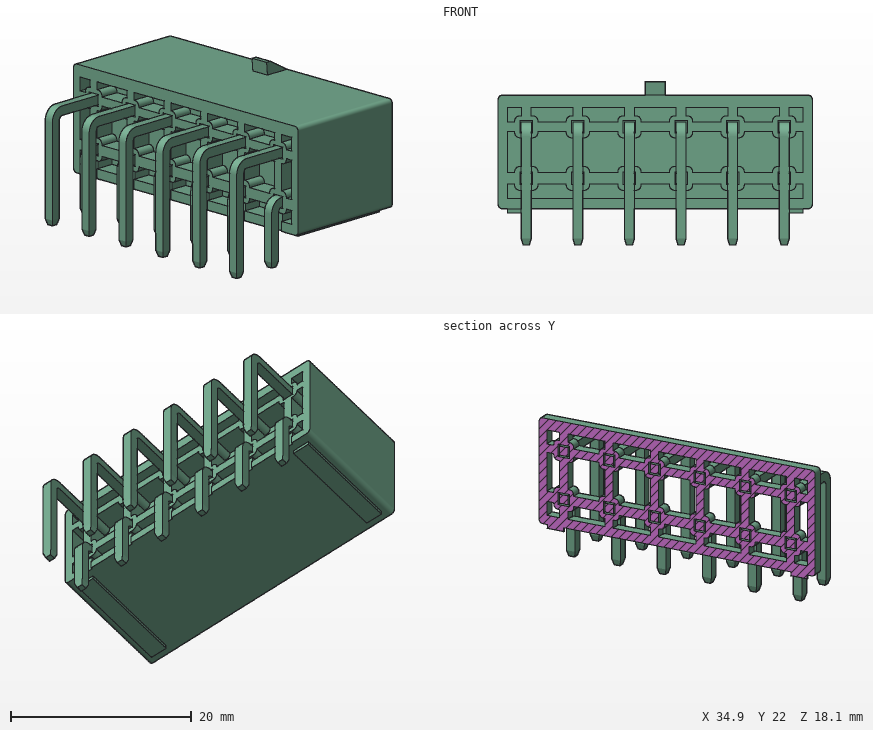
import cadquery as cq

width = 34.85
depth = 14.9
height = 12.6
edge_radius = 0.52

columns = 6
pitch = 5.7
upper_row_z = 9.1
lower_row_z = upper_row_z - pitch
column_x = [(i - (columns - 1) / 2) * pitch for i in range(columns)]

recess_depth = 2.37
side_wall = 1.05
top_wall = 1.4
bottom_wall = 1.15
column_rib = 1.08
upper_rib = 1.05
lower_rib = 1.25

land_width = 2.58
upper_land_height = 2.45
lower_land_height = 2.65
land_radius = 0.6
hole_size = 1.4

relief_depth = 0.17

pin_size = 1.1
bend_inner_radius = 0.5
bend_outer_radius = bend_inner_radius + pin_size
upper_pin_reach = 7.1
lower_pin_reach = 1.57
pin_bottom_z = -4.0
tip_length = 0.7
tip_size = 0.7

latch_width = 2.25
latch_height = 1.5
latch_ramp_length = 2.65
latch_base_length = 3.15
latch_top_length = 3.28

pad_width = 2.1
pad_height = 0.45
pad_inset_y = 1.0


def block(x_size, y_start, y_end, z_start, z_end, x_center=0.0):
    """Box centred on x_center, given by its Y and Z limits."""
    return cq.Workplane("XY").box(
        x_size, y_end - y_start, z_end - z_start, centered=(True, False, False)
    ).translate((x_center, y_start, z_start))


def make_housing():
    """Solid block with its four lengthwise (Y) edges rounded."""
    return block(width, 0, depth, 0, height).edges("|Y").fillet(edge_radius)


def make_land(x, z, land_height):
    """Rounded land at one rib crossing."""
    land = block(land_width, 0, recess_depth, z - land_height / 2, z + land_height / 2, x)
    return land.edges("|Y").fillet(land_radius)


def make_recess():
    """Volume removed from the pin face: the full recess less ribs, lands and walls."""
    bottom = bottom_wall
    top = height - top_wall
    recess = block(width - 2 * side_wall, 0, recess_depth, bottom, top)
    rows = ((upper_row_z, upper_rib, upper_land_height), (lower_row_z, lower_rib, lower_land_height))
    for z, rib, land_height in rows:
        recess = recess.cut(block(width, 0, recess_depth, z - rib / 2, z + rib / 2))
        for x in column_x:
            recess = recess.cut(make_land(x, z, land_height))
    for x in column_x:
        recess = recess.cut(block(column_rib, 0, recess_depth, bottom, top, x))
    return recess


def make_relief(x):
    """Shallow vertical groove from the underside up to the lower land."""
    return block(column_rib, 0, relief_depth, 0, lower_row_z - lower_land_height / 2, x)


def make_pin(x, z, reach):
    """Bent square pin that starts at the bottom of its hole and ends in a tapered tip."""
    half = pin_size / 2
    shank_bottom = pin_bottom_z + tip_length
    pin = (
        cq.Workplane("YZ")
        .moveTo(recess_depth, z + half)
        .lineTo(bend_outer_radius - reach, z + half)
        .radiusArc((-reach, z + half - bend_outer_radius), -bend_outer_radius)
        .lineTo(-reach, shank_bottom)
        .lineTo(pin_size - reach, shank_bottom)
        .lineTo(pin_size - reach, z - half - bend_inner_radius)
        .radiusArc((bend_outer_radius - reach, z - half), bend_inner_radius)
        .lineTo(recess_depth, z - half)
        .close()
        .extrude(half, both=True)
        .translate((x, 0, 0))
    )
    tip = (
        cq.Workplane("XY", origin=(x, half - reach, pin_bottom_z))
        .rect(tip_size, tip_size)
        .workplane(offset=tip_length)
        .rect(pin_size, pin_size)
        .loft()
    )
    return pin.union(tip)


def make_latch():
    """Wedge that ramps up from the back edge to a slightly overhanging front."""
    return (
        cq.Workplane("YZ")
        .moveTo(depth, height)
        .lineTo(depth - latch_ramp_length, height + latch_height)
        .lineTo(depth - latch_top_length, height + latch_height)
        .lineTo(depth - latch_base_length, height)
        .close()
        .extrude(latch_width / 2, both=True)
    )


def make_pad(side):
    """Stand-off pad under one end; side is -1 or +1 along X."""
    x = side * (width / 2 - side_wall - pad_width / 2)
    return block(pad_width, pad_inset_y, depth - pad_inset_y, -pad_height, 0, x)


result = make_housing().cut(make_recess())
for x in column_x:
    result = result.cut(make_relief(x))
    for z, reach in ((upper_row_z, upper_pin_reach), (lower_row_z, lower_pin_reach)):
        hole = block(hole_size, 0, recess_depth, z - hole_size / 2, z + hole_size / 2, x)
        result = result.cut(hole).union(make_pin(x, z, reach))
result = result.union(make_latch())
for side in (-1, 1):
    result = result.union(make_pad(side))